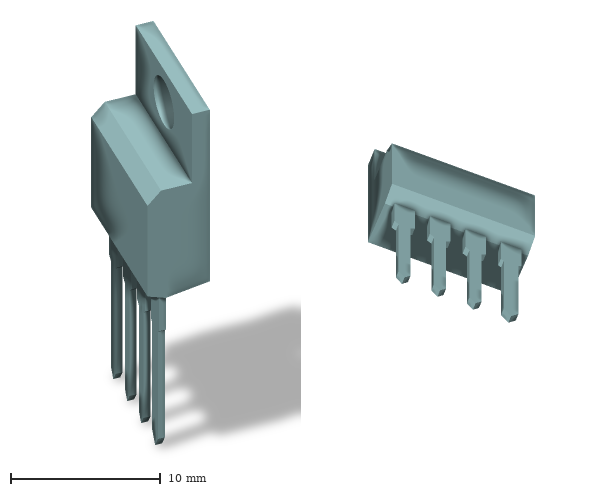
import cadquery as cq
import math

width = 10.25
depth = 4.46
height = 28.52

tab_thickness = 1.27
tab_height = 5.87
hole_diameter = 3.73
hole_below_top = 2.78

body_top = height - tab_height
body_height = 9.23
body_bottom = body_top - body_height
chamfer_depth = 0.97
chamfer_height = 1.02
bottom_bevel_height = 0.5

lead_pitch = 2.54
lead_count = 4
lead_thickness = 0.5
lead_front = 1.06
shoulder_width = 1.47
slim_width = 0.86
wide_width = 1.05
slim_shoulder_end = 10.03
wide_shoulder_end = 10.23
tip_flank_angle = 60
lead_embed = 1.0

lead_front_y = -depth + lead_front
ridge_y = lead_front_y + lead_thickness / 2


def make_tab():
    """Flat tab at the back with the screw hole through it."""
    tab = cq.Workplane("XY").box(width, tab_thickness, tab_height, centered=(True, False, False))
    tab = tab.translate((0, -tab_thickness, body_top))
    hole = (
        cq.Workplane("XZ")
        .center(0, height - hole_below_top)
        .circle(hole_diameter / 2)
        .extrude(tab_thickness)
    )
    return tab.cut(hole)


def make_body():
    """Body profile in the YZ plane: chamfered top front edge and a ridged underside."""
    bevel_top = body_bottom + bottom_bevel_height
    profile = [
        (0, body_top),
        (-depth + chamfer_depth, body_top),
        (-depth, body_top - chamfer_height),
        (-depth, bevel_top),
        (ridge_y, body_bottom),
        (0, bevel_top),
    ]
    return cq.Workplane("YZ").polyline(profile).close().extrude(width / 2, both=True)


def make_lead(center_x, pin_width, shoulder_end):
    """Lead with a wide shoulder, a 45 degree step down to the pin and a pointed tip."""
    half_shoulder = shoulder_width / 2
    half_pin = pin_width / 2
    pin_top = shoulder_end - (half_shoulder - half_pin)
    tip_height = half_pin * math.tan(math.radians(tip_flank_angle))
    lead_top = body_bottom + lead_embed
    right_side = [
        (half_shoulder, lead_top),
        (half_shoulder, shoulder_end),
        (half_pin, pin_top),
        (half_pin, tip_height),
    ]
    left_side = [(-x, z) for x, z in reversed(right_side)]
    lead = cq.Workplane("XZ").polyline(right_side + [(0, 0)] + left_side).close()
    return lead.extrude(-lead_thickness).translate((center_x, lead_front_y, 0))


result = make_tab().union(make_body())
for index in range(lead_count):
    lead_x = (index - (lead_count - 1) / 2) * lead_pitch
    is_last = index == lead_count - 1
    lead_width = wide_width if is_last else slim_width
    shoulder_z = wide_shoulder_end if is_last else slim_shoulder_end
    result = result.union(make_lead(lead_x, lead_width, shoulder_z))